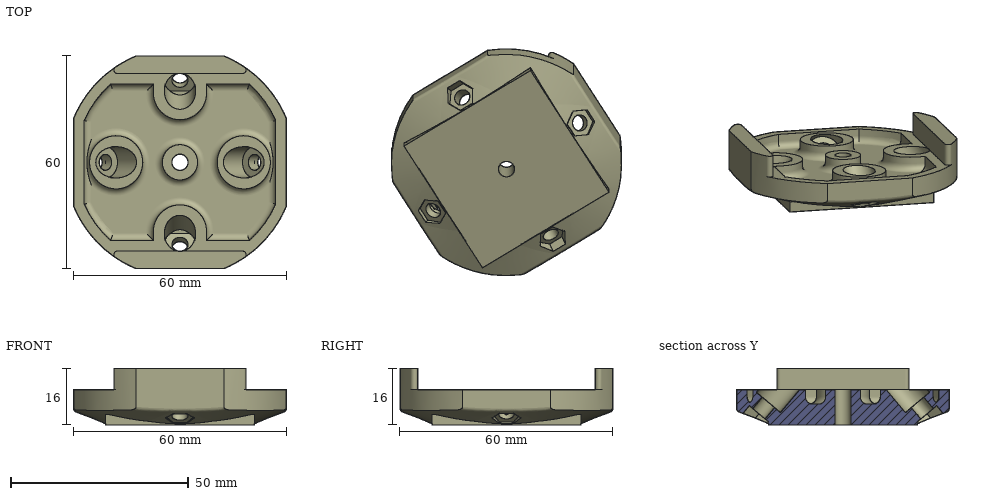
import cadquery as cq
import math

width = 60.0
half_width = width / 2
corner_radius = 32.45
plate_top = 10.0
center_foot_radius = 20.05
center_slope = 0.4
corner_offset = 4.2
corner_foot_radius = 14.2
corner_slope = 0.34
rim_fillet = 1.0
pad_side = 42.0
pad_height = 3.0

rail_top = 16.0
rail_thickness = 5.0
rail_corner_radius = 1.0

wall = 3.0
pocket_half_x = half_width - wall
pocket_half_y = 22.0
pocket_floor = 6.0
base_fillet = 2.0

center_boss_radius = 5.0
bolt_boss_radius = 7.5
boss_x = 18.0
boss_y = 19.5

hole_diameter = 4.5
bore_diameter = 8.8
nut_flats = 7.0
nut_corners = nut_flats / math.cos(math.pi / 6)
cut_reach = 12.0

x_bolt_tilt = 40.0
x_bore_depth = 4.7
x_web = 4.2
y_bolt_offset = 20.05
y_bolt_tilt = 30.0
y_bore_depth = 6.1
y_web = 2.5


def outline(z):
    """Square at height z whose corners are cut back by a circle about the origin."""
    flat_end = math.sqrt(corner_radius**2 - half_width**2)
    mid = corner_radius * math.sqrt(0.5)
    return (
        cq.Workplane("XY", origin=(0, 0, z))
        .moveTo(half_width, -flat_end)
        .lineTo(half_width, flat_end)
        .threePointArc((mid, mid), (flat_end, half_width))
        .lineTo(-flat_end, half_width)
        .threePointArc((-mid, mid), (-half_width, flat_end))
        .lineTo(-half_width, -flat_end)
        .threePointArc((-mid, -mid), (-flat_end, -half_width))
        .lineTo(flat_end, -half_width)
        .threePointArc((mid, -mid), (half_width, -flat_end))
        .close()
    )


def cone(center_x, center_y, foot_radius, slope):
    """Frustum that widens upward from its foot circle at Z = 0 to the plate top."""
    top_radius = foot_radius + plate_top / slope
    solid = cq.Solid.makeCone(foot_radius, top_radius, plate_top)
    return cq.Workplane(solid).translate((center_x, center_y, 0))


def plate():
    """Outline whose underside rises outward on a central cone and four corner cones."""
    underside = cone(0, 0, center_foot_radius, center_slope)
    for x in (-corner_offset, corner_offset):
        for y in (-corner_offset, corner_offset):
            underside = underside.union(cone(x, y, corner_foot_radius, corner_slope))
    blank = outline(0).extrude(plate_top)
    rounded = blank.intersect(underside)
    lower_half = cq.selectors.BoxSelector((-width, -width, 0), (width, width, plate_top / 2))
    for side in ("<X", ">X", "<Y", ">Y"):
        rounded = rounded.faces(side).edges(lower_half).fillet(rim_fillet)
    return rounded


def pocket():
    """Cavity with rounded bottom edges: a box cut back by a cylinder about the origin."""
    depth = plate_top - pocket_floor
    blank = cq.Workplane("XY", origin=(0, 0, pocket_floor))
    box = blank.rect(2 * pocket_half_x, 2 * pocket_half_y).extrude(depth)
    cylinder = blank.circle(corner_radius - wall).extrude(depth)
    box = box.faces("<Z").edges().fillet(base_fillet)
    cylinder = cylinder.faces("<Z").edges().fillet(base_fillet)
    return box.intersect(cylinder)


def boss_profile(radius):
    """Half section of a boss with a concave flare at its base."""
    flare_radius = radius + base_fillet
    flare_top = pocket_floor + base_fillet
    diagonal = base_fillet * math.sqrt(0.5)
    return (
        cq.Workplane("XZ")
        .moveTo(0, pocket_floor)
        .lineTo(flare_radius, pocket_floor)
        .threePointArc((flare_radius - diagonal, flare_top - diagonal), (radius, flare_top))
        .lineTo(radius, plate_top)
        .lineTo(0, plate_top)
        .close()
    )


def round_boss(radius):
    return boss_profile(radius).revolve(360, (0, 0), (0, 1))


def bosses():
    all_bosses = round_boss(center_boss_radius)
    for side in (-1, 1):
        all_bosses = all_bosses.union(round_boss(bolt_boss_radius).translate((side * boss_x, 0, 0)))
    half_bridge = boss_profile(bolt_boss_radius).extrude(-(pocket_half_y - boss_y))
    bridge = half_bridge.union(half_bridge.mirror("YZ"))
    wall_boss = round_boss(bolt_boss_radius).union(bridge).translate((0, boss_y, 0))
    return all_bosses.union(wall_boss).union(wall_boss.mirror("XZ"))


def bolt_cutter(axis_offset, tilt, bore_depth, web):
    """Bore, hole and nut pocket on an axis that leans toward +X as it goes down.

    The axis crosses the plate top at axis_offset; bore_depth and web run along it.
    """
    lean = math.radians(tilt)
    axis = cq.Plane(
        origin=(axis_offset, 0, plate_top),
        xDir=(0, 1, 0),
        normal=(math.sin(lean), 0, -math.cos(lean)),
    )
    line = cq.Workplane(axis)
    bore = line.workplane(offset=-cut_reach).circle(bore_diameter / 2).extrude(cut_reach + bore_depth)
    hole = line.circle(hole_diameter / 2).extrude(bore_depth + web + cut_reach)
    nut = line.workplane(offset=bore_depth + web).polygon(6, nut_corners).extrude(cut_reach)
    return bore.union(hole).union(nut)


def rails():
    """Segments of the plate outline standing on both Y edges, with rounded inner tips."""
    height = rail_top - plate_top
    blank = outline(plate_top).extrude(height)
    base = cq.Workplane("XY", origin=(0, 0, plate_top))
    gap = base.rect(width, width - 2 * rail_thickness).extrude(height)
    inner_edges = blank.cut(gap).faces(">Y[1] or <Y[1]").edges("|Z")
    return inner_edges.fillet(rail_corner_radius)


body = plate().cut(pocket()).union(bosses())

x_bolt = bolt_cutter(boss_x, x_bolt_tilt, x_bore_depth, x_web)
y_bolt = bolt_cutter(y_bolt_offset, y_bolt_tilt, y_bore_depth, y_web)
for turn in (0, 180):
    body = body.cut(x_bolt.rotate((0, 0, 0), (0, 0, 1), turn))
    body = body.cut(y_bolt.rotate((0, 0, 0), (0, 0, 1), turn + 90))

pad = cq.Workplane("XY").rect(pad_side, pad_side).extrude(pad_height)
center_hole = cq.Workplane("XY").circle(hole_diameter / 2).extrude(plate_top)

result = body.union(rails()).union(pad).cut(center_hole)